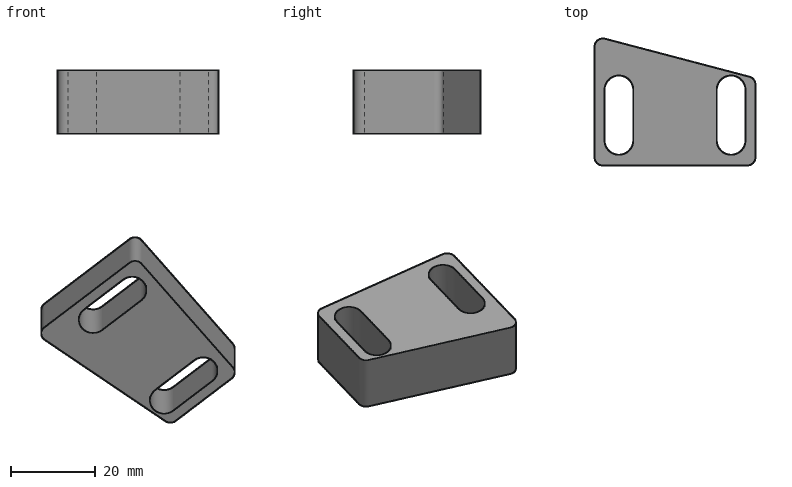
import cadquery as cq
import math

length = 38.0
depth = 30.0
height = 15.0
back_drop = 10.0
corner_radius = 2.0

slot_width = 6.73
slot_length = 18.62
slot_spacing = 26.45
slot_center_y = 11.9

slope_angle = math.atan2(back_drop, length)
corner_rise = corner_radius * (1 / math.cos(slope_angle) + math.tan(slope_angle) - 1)
left_depth = depth + corner_rise
right_depth = left_depth - back_drop


def make_block():
    outline = [(0, 0), (length, 0), (length, right_depth), (0, left_depth)]
    block = cq.Workplane("XY").polyline(outline).close().extrude(height)
    return block.edges("|Z").fillet(corner_radius)


def make_slots():
    centers = [(length / 2 + side * slot_spacing / 2, slot_center_y) for side in (-1, 1)]
    slots = cq.Workplane("XY").pushPoints(centers).slot2D(slot_length, slot_width, angle=90)
    return slots.extrude(height)


result = make_block().cut(make_slots())